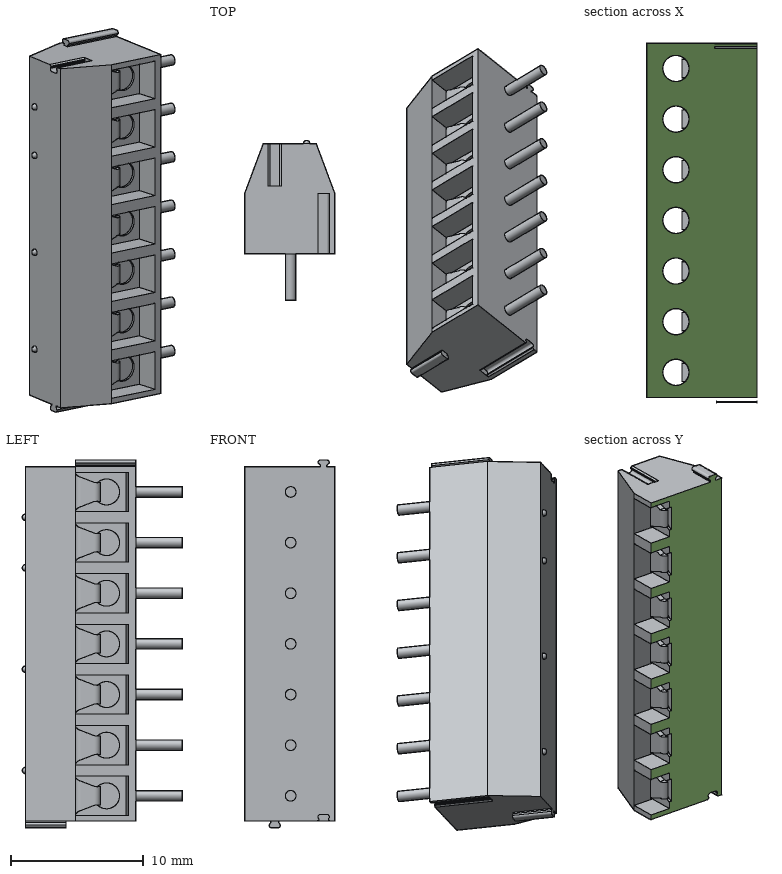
import cadquery as cq
import math


POLES = 7
PITCH = 3.81
BODY_WIDTH = 6.8
BODY_DEPTH = 8.3
BODY_HEIGHT = POLES * PITCH
SIDE_DEPTH = 4.55
TOP_INSET = 1.4
HALF_WIDTH = BODY_WIDTH / 2
HALF_HEIGHT = BODY_HEIGHT / 2

PIN_DIAMETER = 0.8
PIN_LENGTH = 3.5
PIN_X = 0.07
PIN_EMBED = 0.3

ENTRY_HEIGHT = 2.95
ENTRY_NEAR_Y = 0.55
ENTRY_DRAFT = 0.2
ENTRY_DEPTH = 1.75
HOLE_DIAMETER = 1.95
HOLE_Y = 2.2
HOLE_DEPTH = 0.2

GUARD_ROUND = 0.43
GUARD_LENGTH = 1.9
GUARD_TIP_LENGTH = 0.43
GUARD_ROOT_HALF = 1.42
GUARD_SHOULDER_HALF = 1.1
GUARD_TIP_HALF = 0.7
GUARD_FLARE_MID = (0.15, 1.24)

FRONT_RAIL_X = 2.55
REAR_RAIL_X = -1.13
REAR_RAIL_LENGTH = 3.05
REAR_GROOVE_LENGTH = 3.17
RAIL_HEIGHT = 0.5
RAIL_HALF = 0.43
RAIL_SHOULDER = 0.28
RAIL_ROOT = 0.1
CORNER_WIDTH = 0.15
FRONT_NECK_HALF = 0.25
FRONT_NECK_HEIGHT = 0.1
REAR_NECK_HALF = 0.31
REAR_NECK_HEIGHT = 0.1
GROOVE_DEPTH = 0.5
GROOVE_MOUTH_HALF = 0.5
GROOVE_FLARE = 0.1
GROOVE_THROAT_HALF = 0.36
GROOVE_THROAT_DEPTH = 0.17
GROOVE_SHOULDER = 0.28

PIP_RADIUS = 0.25
PIP_HEIGHT = 0.25
PIP_X = 1.27
PIP_GAPS = (0, 2, 4, 5)


def pole_z(index):
    return (index - (POLES - 1) / 2) * PITCH


def make_body():
    top_half = HALF_WIDTH - TOP_INSET
    outline = [
        (-HALF_WIDTH, 0),
        (HALF_WIDTH, 0),
        (HALF_WIDTH, SIDE_DEPTH),
        (top_half, BODY_DEPTH),
        (-top_half, BODY_DEPTH),
        (-HALF_WIDTH, SIDE_DEPTH),
    ]
    bottom = cq.Workplane("XY", origin=(0, 0, -HALF_HEIGHT))
    return bottom.polyline(outline).close().extrude(BODY_HEIGHT)


def make_pin(z):
    start = cq.Workplane("XZ", origin=(PIN_X, PIN_EMBED, z))
    return start.circle(PIN_DIAMETER / 2).extrude(PIN_EMBED + PIN_LENGTH)


def make_guard(z):
    floor_x = ENTRY_DEPTH - HALF_WIDTH
    face_x = floor_x - GUARD_ROUND
    tip_y = SIDE_DEPTH - GUARD_LENGTH
    section = (
        cq.Workplane("XY", origin=(0, 0, z))
        .moveTo(floor_x, SIDE_DEPTH)
        .radiusArc((face_x, SIDE_DEPTH - GUARD_ROUND), -GUARD_ROUND)
        .lineTo(face_x, tip_y + GUARD_ROUND)
        .radiusArc((floor_x, tip_y), -GUARD_ROUND)
        .close()
        .extrude(ENTRY_HEIGHT / 2, both=True)
    )
    shoulder_y = SIDE_DEPTH - GUARD_ROUND
    tip_start_y = tip_y + GUARD_TIP_LENGTH
    flare_y = SIDE_DEPTH - GUARD_FLARE_MID[0]
    flare_half = GUARD_FLARE_MID[1]
    outline = (
        cq.Workplane("YZ", origin=(face_x, 0, z))
        .moveTo(SIDE_DEPTH, GUARD_ROOT_HALF)
        .threePointArc((flare_y, flare_half), (shoulder_y, GUARD_SHOULDER_HALF))
        .lineTo(tip_start_y, GUARD_TIP_HALF)
        .lineTo(tip_y, GUARD_TIP_HALF)
        .lineTo(tip_y, -GUARD_TIP_HALF)
        .lineTo(tip_start_y, -GUARD_TIP_HALF)
        .lineTo(shoulder_y, -GUARD_SHOULDER_HALF)
        .threePointArc((flare_y, -flare_half), (SIDE_DEPTH, -GUARD_ROOT_HALF))
        .close()
        .extrude(GUARD_ROUND)
    )
    return section.intersect(outline)


def make_entry(z):
    """Space to remove for one wire entry: a drafted pocket and a shallow round recess, less the guard."""
    floor_x = ENTRY_DEPTH - HALF_WIDTH
    section = [
        (-HALF_WIDTH, ENTRY_NEAR_Y),
        (-HALF_WIDTH, SIDE_DEPTH),
        (floor_x, SIDE_DEPTH),
        (floor_x, ENTRY_NEAR_Y + ENTRY_DRAFT),
    ]
    mid_plane = cq.Workplane("XY", origin=(0, 0, z))
    pocket = mid_plane.polyline(section).close().extrude(ENTRY_HEIGHT / 2, both=True)
    hole = cq.Workplane("YZ", origin=(floor_x, HOLE_Y, z)).circle(HOLE_DIAMETER / 2).extrude(HOLE_DEPTH)
    return pocket.union(hole).cut(make_guard(z))


def make_end_bar(x, start_y, length, direction, half_points, crown):
    """Bar along Y from start_y, on the +Z (direction 1) or -Z (-1) end face.

    half_points are the (half-width, height) pairs of its flank up to the widest place.
    Rounded corners join the flanks to a flat crown at height crown.
    """
    flank = [(half, direction * height) for half, height in half_points]
    mirrored = [(-half, height) for half, height in reversed(flank)]
    widest = flank[-1]
    crown_height = direction * crown
    crown_half = RAIL_HALF - CORNER_WIDTH
    corner_share = math.sqrt(0.5)
    corner_x = crown_half + CORNER_WIDTH * corner_share
    corner_z = widest[1] + (crown_height - widest[1]) * corner_share
    profile = (
        cq.Workplane("XZ", origin=(x, start_y, direction * HALF_HEIGHT))
        .polyline(flank)
        .threePointArc((corner_x, corner_z), (crown_half, crown_height))
        .lineTo(-crown_half, crown_height)
        .threePointArc((-corner_x, corner_z), mirrored[0])
    )
    for point in mirrored[1:]:
        profile = profile.lineTo(*point)
    return profile.close().extrude(-length)


def make_rail(x, start_y, length, direction, neck_half, neck_height):
    half_points = [
        (neck_half, -RAIL_ROOT),
        (neck_half, neck_height),
        (RAIL_HALF, RAIL_SHOULDER),
    ]
    return make_end_bar(x, start_y, length, direction, half_points, RAIL_HEIGHT)


def make_groove(x, start_y, length, direction):
    half_points = [
        (GROOVE_MOUTH_HALF, 0),
        (GROOVE_THROAT_HALF, -GROOVE_FLARE),
        (GROOVE_THROAT_HALF, -GROOVE_THROAT_DEPTH),
        (RAIL_HALF, -GROOVE_SHOULDER),
    ]
    return make_end_bar(x, start_y, length, direction, half_points, -GROOVE_DEPTH)


def make_pip(z):
    ball_radius = (PIP_RADIUS**2 + PIP_HEIGHT**2) / (2 * PIP_HEIGHT)
    ball_y = BODY_DEPTH + PIP_HEIGHT - ball_radius
    return cq.Workplane("XY", origin=(PIP_X, ball_y, z)).sphere(ball_radius)


result = make_body()

for pole in range(POLES):
    result = result.cut(make_entry(pole_z(pole)))
    result = result.union(make_pin(pole_z(pole)))

for gap in PIP_GAPS:
    result = result.union(make_pip(pole_z(gap + 0.5)))

rear_rail_start = BODY_DEPTH - REAR_RAIL_LENGTH
rear_groove_start = BODY_DEPTH - REAR_GROOVE_LENGTH
front_rail = make_rail(FRONT_RAIL_X, 0, SIDE_DEPTH, 1, FRONT_NECK_HALF, FRONT_NECK_HEIGHT)
rear_rail = make_rail(REAR_RAIL_X, rear_rail_start, REAR_RAIL_LENGTH, -1, REAR_NECK_HALF, REAR_NECK_HEIGHT)
front_groove = make_groove(FRONT_RAIL_X, 0, SIDE_DEPTH, -1)
rear_groove = make_groove(REAR_RAIL_X, rear_groove_start, REAR_GROOVE_LENGTH, 1)
result = result.union(front_rail).union(rear_rail).cut(front_groove).cut(rear_groove)